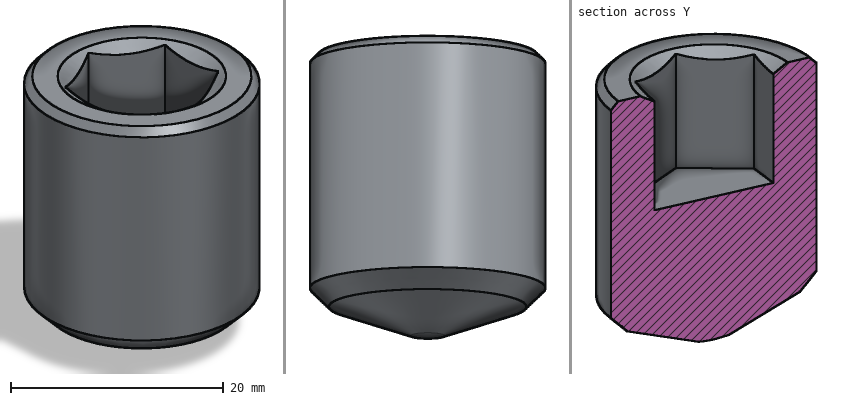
import cadquery as cq
import math

body_diameter = 22.22
length = 26.97
top_chamfer = 0.78

shoulder_height = 4.67
shoulder_drop = 1.78
cone_base_radius = 9.3
tip_radius = 1.62
tip_rise = 0.1

hex_across_flats = 12.78
socket_depth = 12.14
countersink_diameter = 15.85
countersink_angle = 120.0

body_radius = body_diameter / 2
hex_across_corners = hex_across_flats / math.cos(math.radians(30))


def make_body():
    """Revolve the chamfered cylinder with its two-stage point about Z."""
    dome_radius = (tip_radius**2 + tip_rise**2) / (2 * tip_rise)
    profile = (
        cq.Workplane("XZ")
        .radiusArc((tip_radius, tip_rise), -dome_radius)
        .lineTo(cone_base_radius, shoulder_height - shoulder_drop)
        .lineTo(body_radius, shoulder_height)
        .lineTo(body_radius, length - top_chamfer)
        .lineTo(body_radius - top_chamfer, length)
        .lineTo(0, length)
        .close()
    )
    return profile.revolve(360, (0, 0), (0, 1))


def make_hex_socket():
    """Flat-bottomed hexagonal socket with corners pointing along Y."""
    return (
        cq.Workplane("XY", origin=(0, 0, length - socket_depth))
        .transformed(rotate=(0, 0, 90))
        .polygon(6, hex_across_corners)
        .extrude(socket_depth)
    )


def make_countersink():
    """Lead-in cone that opens the socket at the top face."""
    rim_radius = countersink_diameter / 2
    depth = rim_radius / math.tan(math.radians(countersink_angle / 2))
    return cq.Workplane("XY").add(
        cq.Solid.makeCone(0, rim_radius, depth, pnt=cq.Vector(0, 0, length - depth))
    )


result = make_body().cut(make_hex_socket()).cut(make_countersink())